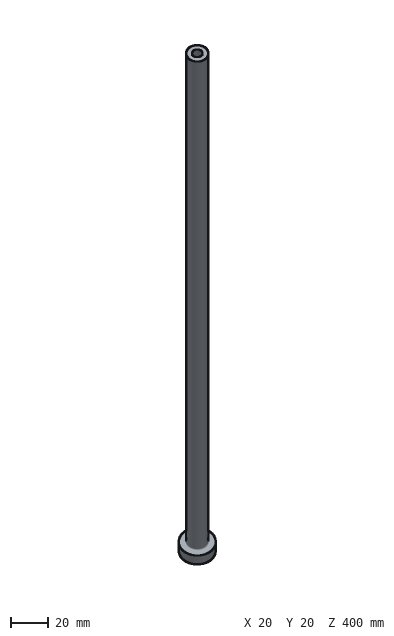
import cadquery as cq

total_length = 400.0
head_diameter = 20.0
head_height = 7.0
shaft_diameter = 12.0
bore_diameter = 5.5
neck_fillet_radius = 1.0


def sleeve_body():
    """Round head and shaft joined by a fillet at the neck."""
    head = cq.Workplane("XY").circle(head_diameter / 2).extrude(head_height)
    shaft = cq.Workplane("XY").circle(shaft_diameter / 2).extrude(total_length)
    neck_edge = cq.selectors.RadiusNthSelector(0)
    return head.union(shaft).faces("<Z[-2]").edges(neck_edge).fillet(neck_fillet_radius)


def through_bore():
    """Straight bore along the whole sleeve."""
    return cq.Workplane("XY").circle(bore_diameter / 2).extrude(total_length)


result = sleeve_body().cut(through_bore())